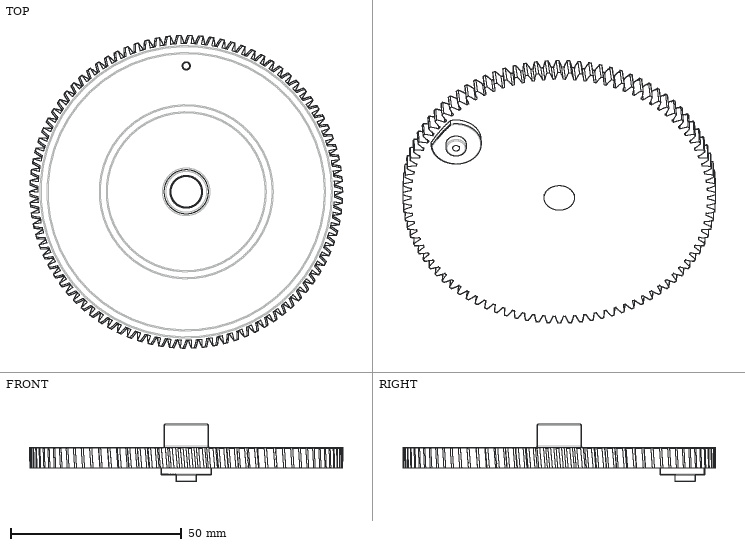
import cadquery as cq
import math

module = 1.0
tooth_count = 90
pressure_angle = math.radians(20.0)
helix_angle = math.radians(5.0)
gear_thickness = 6.0
pitch_radius = module * tooth_count / 2
addendum = module
dedendum = 1.4 * module
tip_radius = pitch_radius + addendum
root_radius = pitch_radius - dedendum
base_radius = pitch_radius * math.cos(pressure_angle)
tooth_pitch_angle = 2 * math.pi / tooth_count
twist_degrees = math.degrees(gear_thickness * math.tan(helix_angle) / pitch_radius)
top_phase_degrees = twist_degrees / 2

relief_depth = 0.2
relief_root_angle = math.radians(0.1)

recess_depth = 2.0
recess_outer_radius = 42.8
recess_inner_radius = 23.4
recess_edge_fillet = 0.5

hub_radius = 6.5
hub_height = 7.0
hub_edge_fillet = 0.5
hub_foot_fillet = 0.5
bore_radius = 4.5
bore_chamfer = 0.3

boss_offset = 37.0
boss_radius = 7.4
boss_height = 2.0
boss_limit_radius = recess_outer_radius
boss_edge_fillet = 0.2
pin_radius = 3.0
pin_height = 2.0
pin_edge_fillet = 0.3
pin_hole_radius = 1.0
pin_hole_chamfer = 0.2


def polar(radius, angle):
    return (radius * math.cos(angle), radius * math.sin(angle))


def tooth_half_angle(radius):
    """Half of the angle spanned by a tooth at the given radius."""
    def involute(angle):
        return math.tan(angle) - angle

    flank_angle = math.acos(min(1.0, base_radius / radius))
    return tooth_pitch_angle / 4 + involute(pressure_angle) - involute(flank_angle)


def make_toothed_prism():
    root_half_angle = tooth_half_angle(root_radius)
    tip_half_angle = tooth_half_angle(tip_radius)
    pitch_half_angle = tooth_half_angle(pitch_radius)
    outline = cq.Workplane("XY").moveTo(*polar(root_radius, -root_half_angle))
    for tooth in range(tooth_count):
        middle = tooth * tooth_pitch_angle
        gap_middle = middle + tooth_pitch_angle / 2
        next_root = middle + tooth_pitch_angle - root_half_angle
        outline = (
            outline
            .threePointArc(
                polar(pitch_radius, middle - pitch_half_angle),
                polar(tip_radius, middle - tip_half_angle),
            )
            .threePointArc(polar(tip_radius, middle), polar(tip_radius, middle + tip_half_angle))
            .threePointArc(
                polar(pitch_radius, middle + pitch_half_angle),
                polar(root_radius, middle + root_half_angle),
            )
            .threePointArc(polar(root_radius, gap_middle), polar(root_radius, next_root))
        )
    toothed_prism = outline.close().twistExtrude(gear_thickness, -twist_degrees)
    return toothed_prism.rotate((0, 0, 0), (0, 0, 1), top_phase_degrees + twist_degrees)


def make_tooth_relief():
    """Thin wedges on the clockwise flank of every tooth, at the top face."""
    top_phase = math.radians(top_phase_degrees)
    wedges = cq.Workplane("XY", origin=(0, 0, gear_thickness - relief_depth))
    for tooth in range(tooth_count):
        middle = tooth * tooth_pitch_angle
        tooth_middle = middle + top_phase
        wedges = (
            wedges
            .moveTo(*polar(root_radius, tooth_middle - tooth_half_angle(root_radius)))
            .lineTo(*polar(root_radius, middle + relief_root_angle))
            .lineTo(*polar(tip_radius, tooth_middle - tooth_half_angle(tip_radius)))
            .threePointArc(
                polar(pitch_radius, tooth_middle - tooth_half_angle(pitch_radius)),
                polar(root_radius, tooth_middle - tooth_half_angle(root_radius)),
            )
            .close()
        )
    return wedges.extrude(relief_depth)


def make_recessed_blank():
    """Oversize disc with the annular recess, before the teeth are formed."""
    blank_radius = tip_radius + module
    floor = gear_thickness - recess_depth
    blank = (
        cq.Workplane("XZ")
        .moveTo(0, 0)
        .lineTo(blank_radius, 0)
        .lineTo(blank_radius, gear_thickness)
        .lineTo(recess_outer_radius, gear_thickness)
        .lineTo(recess_outer_radius - recess_depth, floor)
        .lineTo(recess_inner_radius + recess_depth, floor)
        .lineTo(recess_inner_radius, gear_thickness)
        .lineTo(0, gear_thickness)
        .close()
        .revolve(360, (0, 0, 0), (0, 1, 0))
    )
    recess_zone = cq.selectors.BoxSelector(
        (-pitch_radius, -pitch_radius, recess_depth),
        (pitch_radius, pitch_radius, gear_thickness + recess_depth),
        boundingbox=True,
    )
    return blank.edges("%CIRCLE").edges(recess_zone).fillet(recess_edge_fillet)


def make_hub():
    """Hub cylinder with a rounded top edge and a concave fillet at its foot."""
    foot = gear_thickness
    top = foot + hub_height
    foot_radius = hub_radius + hub_foot_fillet
    diagonal = math.sqrt(0.5)
    foot_middle = (
        foot_radius - hub_foot_fillet * diagonal,
        foot + hub_foot_fillet * (1 - diagonal),
    )
    edge_middle = (
        hub_radius - hub_edge_fillet * (1 - diagonal),
        top - hub_edge_fillet * (1 - diagonal),
    )
    return (
        cq.Workplane("XZ")
        .moveTo(0, 0)
        .lineTo(foot_radius, 0)
        .lineTo(foot_radius, foot)
        .threePointArc(foot_middle, (hub_radius, foot + hub_foot_fillet))
        .lineTo(hub_radius, top - hub_edge_fillet)
        .threePointArc(edge_middle, (hub_radius - hub_edge_fillet, top))
        .lineTo(0, top)
        .close()
        .revolve(360, (0, 0, 0), (0, 1, 0))
    )


def make_hole_cutter(radius, bottom, top, mouth_chamfer):
    """Vertical round hole with a chamfered mouth at its top end."""
    return (
        cq.Workplane("XZ")
        .moveTo(0, bottom)
        .lineTo(radius, bottom)
        .lineTo(radius, top - mouth_chamfer)
        .lineTo(radius + mouth_chamfer, top)
        .lineTo(0, top)
        .close()
        .revolve(360, (0, 0, 0), (0, 1, 0))
    )


def make_bore():
    return make_hole_cutter(bore_radius, 0, gear_thickness + hub_height, bore_chamfer)


def make_boss_and_pin():
    limit = cq.Workplane("XY").circle(boss_limit_radius).extrude(-boss_height)
    boss = (
        cq.Workplane("XY")
        .center(0, boss_offset)
        .circle(boss_radius)
        .extrude(-boss_height)
        .intersect(limit)
        .faces("<Z")
        .edges()
        .fillet(boss_edge_fillet)
    )
    pin = (
        cq.Workplane("XY", origin=(0, boss_offset, 0))
        .circle(pin_radius)
        .extrude(-boss_height - pin_height)
        .faces("<Z")
        .edges()
        .fillet(pin_edge_fillet)
    )
    return boss.union(pin)


def make_pin_hole():
    bottom = -boss_height - pin_height
    floor = gear_thickness - recess_depth
    cutter = make_hole_cutter(pin_hole_radius, bottom, floor, pin_hole_chamfer)
    return cutter.translate((0, boss_offset, 0))


result = (
    make_recessed_blank()
    .intersect(make_toothed_prism())
    .cut(make_tooth_relief())
    .union(make_hub())
    .union(make_boss_and_pin())
    .cut(make_bore())
    .cut(make_pin_hole())
)